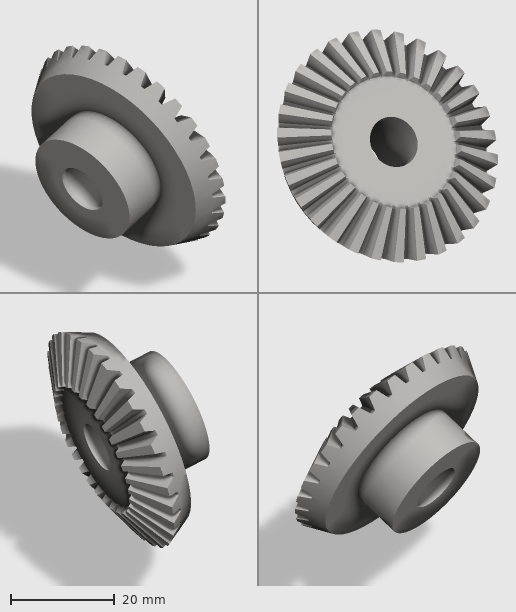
import cadquery as cq
import math


hub_length = 9.55
hub_radius = 11.7
bore_radius = 5.0

total_length = 19.5
outer_radius = 23.2
rim_height = 5.6
tip_height = hub_length + rim_height
pitch_angle = math.atan(2)
back_radius = outer_radius - rim_height / math.tan(pitch_angle)
inner_tip_radius = 13.7
web_height = 18.25

face_slope = (total_length - tip_height) / (outer_radius - inner_tip_radius)
apex_height = tip_height + face_slope * outer_radius

tooth_count = 30
solid_rim_height = 3.2
root_height = hub_length + solid_rim_height
gap_floor_width = 0.95
gap_tip_width = 2.9
overshoot = 0.8


def turn_blank():
    """Hub and toothed rim before the teeth are cut, with the bore left open."""
    inner_base_radius = inner_tip_radius - (total_length - web_height) / math.tan(pitch_angle)
    profile = [
        (bore_radius, 0),
        (hub_radius, 0),
        (hub_radius, hub_length),
        (back_radius, hub_length),
        (outer_radius, tip_height),
        (inner_tip_radius, total_length),
        (inner_base_radius, web_height),
        (bore_radius, web_height),
    ]
    return cq.Workplane("XY").polyline(profile).close().revolve(360, (0, 0), (0, 1))


def gap_cutter():
    """Tapered wedge along +X whose edges all point at the apex."""
    root_radius = outer_radius - (tip_height - root_height) / math.tan(pitch_angle)
    floor_drop = (apex_height - root_height) / root_radius
    floor_spread = gap_floor_width / 2 / root_radius
    tip_spread = gap_tip_width / 2 / outer_radius
    flank_lean = (tip_spread - floor_spread) / (floor_drop - face_slope)
    top_drop = face_slope * overshoot
    top_spread = tip_spread + flank_lean * (face_slope - top_drop)

    def section(radius):
        corners = [
            (-floor_spread, floor_drop),
            (floor_spread, floor_drop),
            (top_spread, top_drop),
            (-top_spread, top_drop),
        ]
        points = [cq.Vector(radius, apex_height - drop * radius, side * radius) for side, drop in corners]
        return cq.Wire.makePolygon(points, close=True)

    small_end = section(inner_tip_radius * overshoot)
    large_end = section(outer_radius / overshoot)
    return cq.Solid.makeLoft([small_end, large_end], True)


def cut_teeth(blank):
    """Cut evenly spaced gaps, leaving a tooth centred on +X."""
    pitch = 360 / tooth_count
    cutter = gap_cutter()
    axis_start = cq.Vector(0, 0, 0)
    axis_end = cq.Vector(0, 1, 0)
    gear = blank
    for index in range(tooth_count):
        gap = cutter.rotate(axis_start, axis_end, pitch * (index + 0.5))
        gear = gear.cut(cq.Workplane(gap))
    return gear


result = cut_teeth(turn_blank())